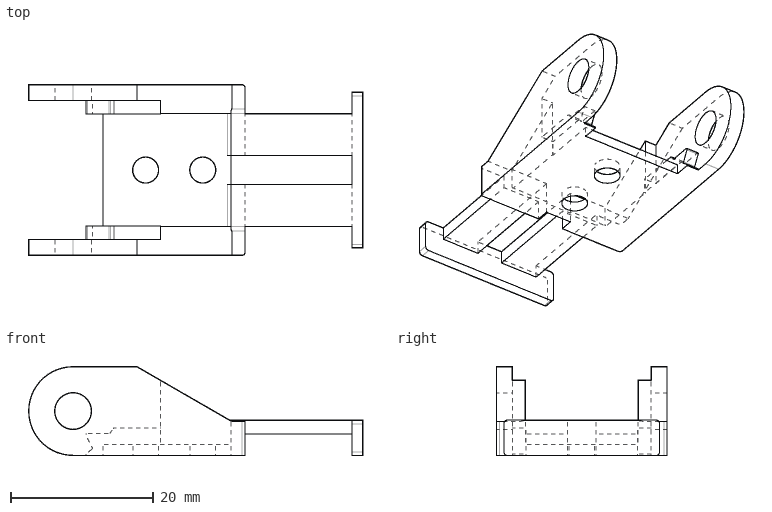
import cadquery as cq
import math

length = 47.0
width = 24.0
lug_radius = 6.25
height = 2 * lug_radius

lug_hole_diameter = 5.1
lug_top_end = 15.25
lug_slope_angle = 30.0
lug_end = 30.45
lug_end_height = 4.8
lug_corner_radius = 0.45
lug_thickness = 2.25
thick_lug_start = 18.5
thick_lug_inner_y = 7.95
slope_drop = height - lug_end_height
slope_end = lug_top_end + slope_drop / math.tan(math.radians(lug_slope_angle))
lug_inner_y = width / 2 - lug_thickness

floor_start = 10.45
floor_thickness = 1.55
floor_hole_diameter = 3.6
floor_hole_positions = (16.45, 24.5)

tail_wall_start = 28.5
tail_top = 5.0
tail_thickness = 1.97
tail_half_width = thick_lug_inner_y
slot_width = 4.05
wall_fillet = 0.5
lug_ramp_width = 0.65
bar_thickness = 1.55
bar_width = 21.9
bar_corner_radius = 0.5
bar_start = length - bar_thickness

rail_inner_y = 7.85
rail_tip = 7.9
rail_lip = 8.05
rail_low_top = 3.1
rail_high_top = 3.9
notch_x = 9.02
notch_z = 1.0
lip_z = 0.2
step_bottom_x = 11.4
step_top_x = 12.0
rail_fillet = 0.25


def box(x_range, y_range, z_range):
    """Axis-aligned block between the given limits."""
    x_size = x_range[1] - x_range[0]
    y_size = y_range[1] - y_range[0]
    z_size = z_range[1] - z_range[0]
    block = cq.Workplane("XY").box(x_size, y_size, z_size, centered=False)
    return block.translate((x_range[0], y_range[0], z_range[0]))


def extrude_along_y(profile, y_start, y_end):
    """Extrude an XZ profile from y_start to y_end."""
    return profile.extrude(y_start - y_end).translate((0, y_start, 0))


def make_lug():
    """Lug on the +Y side, thicker towards the tail."""
    profile = (
        cq.Workplane("XZ")
        .moveTo(lug_radius, 0)
        .threePointArc((0, lug_radius), (lug_radius, height))
        .lineTo(lug_top_end, height)
        .lineTo(slope_end, lug_end_height)
        .lineTo(lug_end, lug_end_height)
        .lineTo(lug_end, 0)
        .close()
    )
    lug = extrude_along_y(profile, thick_lug_inner_y, width / 2)
    lug = lug.edges("|Z and >X and >Y").fillet(lug_corner_radius)
    relief = box((0, thick_lug_start), (thick_lug_inner_y, lug_inner_y), (0, height))
    hole = cq.Workplane("XZ").center(lug_radius, lug_radius).circle(lug_hole_diameter / 2)
    return lug.cut(relief).cut(extrude_along_y(hole, 0, width / 2))


def make_rail():
    """Stepped rail with a rounded, notched nose, attached to the inside of the +Y lug."""
    profile = cq.Workplane("XZ").polyline([
        (rail_lip, 0),
        (rail_lip, lip_z),
        (notch_x, notch_z),
        (rail_tip, rail_low_top),
        (step_bottom_x, rail_low_top),
        (step_top_x, rail_high_top),
        (thick_lug_start, rail_high_top),
        (thick_lug_start, 0),
    ]).close()
    rail = extrude_along_y(profile, rail_inner_y, lug_inner_y)
    rounded_zone = cq.selectors.BoxSelector(
        (0, 0, lip_z + rail_fillet), (thick_lug_start - rail_fillet, width, height)
    )
    return rail.edges("|Y").edges(rounded_zone).fillet(rail_fillet)


def make_lug_ramp():
    """Small wedge leading from the end of the +Y lug up to the top of the tail."""
    profile = cq.Workplane("YZ").polyline([
        (tail_half_width, lug_end_height),
        (tail_half_width, tail_top),
        (tail_half_width + lug_ramp_width, lug_end_height),
    ]).close()
    return profile.extrude(lug_end - tail_wall_start).translate((tail_wall_start, 0, 0))


def make_floor():
    """Floor plate between the lugs."""
    y_range = (-thick_lug_inner_y, thick_lug_inner_y)
    return box((floor_start, tail_wall_start), y_range, (0, floor_thickness))


def make_tail():
    """Wall, flat tail and rounded cross bar, split by a central slot."""
    y_range = (-tail_half_width, tail_half_width)
    wall = box((tail_wall_start, lug_end), y_range, (0, tail_top))
    plate = box((tail_wall_start, bar_start), y_range, (tail_top - tail_thickness, tail_top))
    root_profile = (
        cq.Workplane("XZ")
        .moveTo(tail_wall_start, floor_thickness)
        .lineTo(tail_wall_start - wall_fillet, floor_thickness)
        .radiusArc((tail_wall_start, floor_thickness + wall_fillet), -wall_fillet)
        .close()
    )
    root = extrude_along_y(root_profile, -tail_half_width, tail_half_width)
    slot_start = tail_wall_start - wall_fillet
    slot = box((slot_start, bar_start), (-slot_width / 2, slot_width / 2), (0, tail_top))
    bar = box((bar_start, length), (-bar_width / 2, bar_width / 2), (0, tail_top))
    bar = bar.edges("|X").fillet(bar_corner_radius)
    return wall.union(plate).union(root).cut(slot).union(bar)


side = make_lug().union(make_rail()).union(make_lug_ramp())
result = make_tail().union(make_floor()).union(side).union(side.mirror("XZ"))

floor_holes = (
    cq.Workplane("XY")
    .pushPoints([(x, 0) for x in floor_hole_positions])
    .circle(floor_hole_diameter / 2)
    .extrude(floor_thickness)
)
result = result.cut(floor_holes)